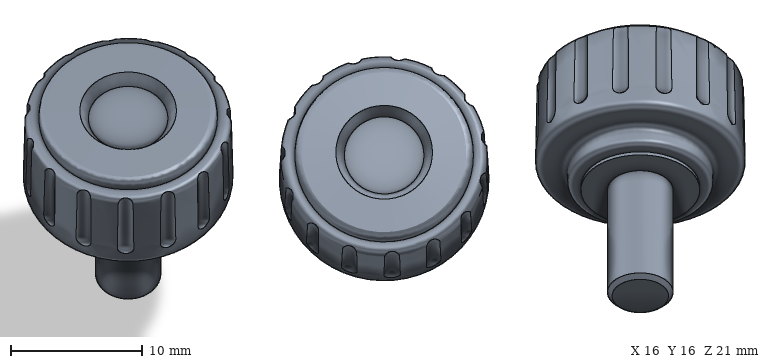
import cadquery as cq
import math


shank_radius = 2.5
shank_length = 10.0
shank_tip_chamfer = 0.35
flange_radius = 4.53
flange_thickness = 0.3

hub_radius = 5.53
hub_bottom_fillet = 0.5
hub_neck_fillet = 0.6

grip_bottom = 2.05
grip_top = 10.0
grip_bottom_radius = 8.0
grip_draft = 1.0
grip_top_radius = grip_bottom_radius - (grip_top - grip_bottom) * math.tan(math.radians(grip_draft))
grip_bottom_fillet = 0.65
grip_top_fillet = 0.55

cap_radius = 6.8
cap_fillet = 0.55
dome_apex = 11.0
dome_radius = 170.0

recess_floor = 10.0
recess_floor_radius = 3.03
recess_rim_radius = 3.68

flute_count = 15
flute_radius = 0.7
flute_axis_radius = 8.25
flute_ball_height = 4.1
flute_first_angle = -90.0

match_tolerance = 1e-4


def dome_height(radius):
    """Height of the domed top at a distance from the knob axis."""
    return dome_apex - dome_radius + math.sqrt(dome_radius**2 - radius**2)


def is_circle_at(edge, radius, height):
    """Whether a circular edge has this radius and lies at this height."""
    same_radius = math.isclose(edge.radius(), radius, abs_tol=match_tolerance)
    same_height = math.isclose(edge.Center().z, height, abs_tol=match_tolerance)
    return same_radius and same_height


def make_stud():
    """Flange on top of the shank, with a chamfered shank tip."""
    shank = (
        cq.Workplane("XY")
        .circle(shank_radius)
        .extrude(-shank_length)
        .faces("<Z")
        .chamfer(shank_tip_chamfer)
    )
    flange = cq.Workplane("XY").circle(flange_radius).extrude(flange_thickness)
    return shank.union(flange)


def make_knob_blank():
    """Revolved hub, grip and domed cap with the recess, edges rounded."""
    cap_edge_height = dome_height(cap_radius)
    recess_rim_height = dome_height(recess_rim_radius)
    dome_mid_radius = (cap_radius + recess_rim_radius) / 2
    dome_mid_point = (dome_mid_radius, dome_height(dome_mid_radius))
    blank = (
        cq.Workplane("XZ")
        .moveTo(0, flange_thickness)
        .lineTo(hub_radius, flange_thickness)
        .lineTo(hub_radius, grip_bottom)
        .lineTo(grip_bottom_radius, grip_bottom)
        .lineTo(grip_top_radius, grip_top)
        .lineTo(cap_radius, grip_top)
        .lineTo(cap_radius, cap_edge_height)
        .threePointArc(dome_mid_point, (recess_rim_radius, recess_rim_height))
        .lineTo(recess_floor_radius, recess_floor)
        .lineTo(0, recess_floor)
        .close()
        .revolve(360, (0, 0, 0), (0, 1, 0))
    )
    rounded_edges = [
        (hub_radius, flange_thickness, hub_bottom_fillet),
        (hub_radius, grip_bottom, hub_neck_fillet),
        (grip_bottom_radius, grip_bottom, grip_bottom_fillet),
        (grip_top_radius, grip_top, grip_top_fillet),
        (cap_radius, cap_edge_height, cap_fillet),
    ]
    for radius, height, fillet in rounded_edges:
        corner = blank.edges("%CIRCLE").filter(lambda edge: is_circle_at(edge, radius, height))
        blank = corner.fillet(fillet)
    return blank


def make_flute_cutter(angle):
    """Upright round cutter with a ball end, open through the top of the grip."""
    x = flute_axis_radius * math.cos(math.radians(angle))
    y = flute_axis_radius * math.sin(math.radians(angle))
    length = grip_top + flute_radius - flute_ball_height
    groove = cq.Workplane("XY", origin=(x, y, flute_ball_height)).circle(flute_radius).extrude(length)
    ball = cq.Workplane("XY", origin=(x, y, flute_ball_height)).sphere(flute_radius)
    return groove.union(ball)


def make_knob():
    """Knob blank with the flutes cut around the grip."""
    knob = make_knob_blank()
    for index in range(flute_count):
        angle = flute_first_angle + index * 360 / flute_count
        knob = knob.cut(make_flute_cutter(angle))
    return knob


stud = make_stud()
knob = make_knob()

result = cq.Compound.makeCompound([knob.solids().val(), stud.solids().val()])